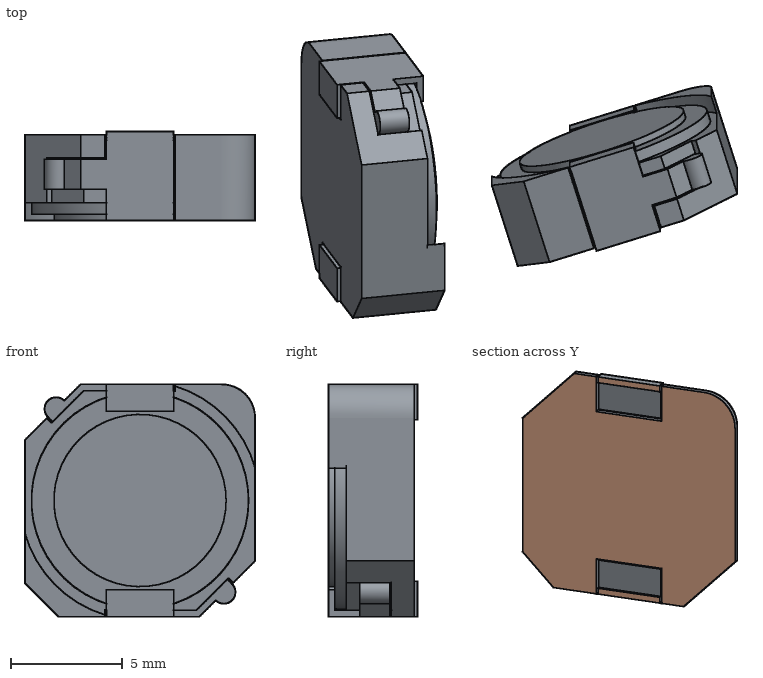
import cadquery as cq
import math


body_width = 10.3
body_height = 10.4
body_back = 3.85
large_chamfer = 2.5
small_chamfer = 1.5
corner_radius = 1.5

recess_depth = 0.8
recess_radius = 5.35
flange_front = 0.3
flange_front_radius = 4.85
flange_back_radius = 4.86
boss_radius = 3.85

strip_thickness = 0.3
strip_width = 3.0
front_lip_length = 1.2
back_lip_length = 1.6
terminal_back = 4.0
arm_front = 1.4
arm_back = 2.75
bead_radius = 0.52
bead_offset = 0.21
clearance = 0.07
back_pocket_floor = 3.6

half_width = body_width / 2
half_height = body_height / 2
half_strip = strip_width / 2
half_slot = half_strip + clearance
slot_floor = half_height - strip_thickness

diagonal = math.sqrt(0.5)
half_bend = math.radians(45 / 2)
slope = cq.Vector(diagonal, 0, diagonal)
inward = cq.Vector(diagonal, 0, -diagonal)
chamfer_middle = cq.Vector(
    -half_width + large_chamfer / 2, 0, half_height - large_chamfer / 2
)
bead_center = chamfer_middle + slope * bead_offset


def block(x_min, x_max, y_min, y_max, z_min, z_max):
    """Box given by its limits on each axis."""
    size = (x_max - x_min, y_max - y_min, z_max - z_min)
    return cq.Workplane("XY").box(*size, centered=False).translate((x_min, y_min, z_min))


def disc(radius, y_min, y_max):
    """Cylinder about the Y axis."""
    return cq.Workplane("XZ", origin=(0, y_min, 0)).circle(radius).extrude(y_min - y_max)


def half_turn(shape):
    """Copy of a shape turned by 180 degrees about the Y axis."""
    return shape.rotate((0, 0, 0), (0, 1, 0), 180)


def shield_blank():
    """Block with two large chamfers, one small chamfer and one rounded corner."""
    return (
        cq.Workplane("XZ")
        .moveTo(-half_width, half_height - large_chamfer)
        .lineTo(-half_width + large_chamfer, half_height)
        .lineTo(half_width - corner_radius, half_height)
        .radiusArc((half_width, half_height - corner_radius), corner_radius)
        .lineTo(half_width, -half_height + large_chamfer)
        .lineTo(half_width - large_chamfer, -half_height)
        .lineTo(-half_width + small_chamfer, -half_height)
        .lineTo(-half_width, -half_height + small_chamfer)
        .close()
        .extrude(-body_back)
    )


def front_recess():
    """Round recess, opened out fully over the two corners with large chamfers."""
    open_corner = block(-half_width, 0, 0, recess_depth, 0, half_height)
    return disc(recess_radius, 0, recess_depth).union(open_corner).union(half_turn(open_corner))


def arm_strip(y_min, y_max, end_distance):
    """Strip along the top face and down the large chamfer, ending beyond the bead center."""
    end_outer = bead_center - slope * end_distance
    end_inner = end_outer + inward * strip_thickness
    inner_bend_x = -half_width + large_chamfer + strip_thickness * math.tan(half_bend)
    return (
        cq.Workplane("XZ", origin=(0, y_min, 0))
        .moveTo(-half_strip, half_height)
        .lineTo(-half_width + large_chamfer, half_height)
        .lineTo(end_outer.x, end_outer.z)
        .lineTo(end_inner.x, end_inner.z)
        .lineTo(inner_bend_x, slot_floor)
        .lineTo(-half_strip, slot_floor)
        .close()
        .extrude(y_min - y_max)
    )


def terminal_slot():
    """Space cut in the shield for one terminal, with clearance around it."""
    top_slot = block(-half_slot, half_slot, 0, body_back, slot_floor, half_height)
    pocket_bottom = half_height - back_lip_length - clearance
    back_pocket = block(
        -half_slot, half_slot, back_pocket_floor, body_back, pocket_bottom, half_height
    )
    arm_channel = arm_strip(0, arm_back + clearance, bead_radius + clearance)
    return top_slot.union(back_pocket).union(arm_channel)


def terminal():
    """Strip over the top face with front and back lips, side arm and bead."""
    top_plate = block(-half_strip, half_strip, 0, terminal_back, slot_floor, half_height)
    front_lip = block(
        -half_strip, half_strip, 0, flange_front, half_height - front_lip_length, half_height
    )
    back_lip = block(
        -half_strip,
        half_strip,
        terminal_back - strip_thickness,
        terminal_back,
        half_height - back_lip_length,
        half_height,
    )
    arm = arm_strip(arm_front, arm_back, bead_radius)
    bead = disc(bead_radius, arm_front, arm_back).translate((bead_center.x, 0, bead_center.z))
    return top_plate.union(front_lip).union(back_lip).union(arm).union(bead)


def core():
    """Slightly tapered flange with a smaller round boss in front of it."""
    flange = (
        cq.Workplane("XY")
        .moveTo(0, flange_front)
        .lineTo(flange_front_radius, flange_front)
        .lineTo(flange_back_radius, recess_depth)
        .lineTo(0, recess_depth)
        .close()
        .revolve(360, (0, 0, 0), (0, 1, 0))
    )
    return flange.union(disc(boss_radius, 0, flange_front))


shield = shield_blank().cut(front_recess())
for slot in (terminal_slot(), half_turn(terminal_slot())):
    shield = shield.cut(slot)

result = shield.union(core()).union(terminal()).union(half_turn(terminal()))